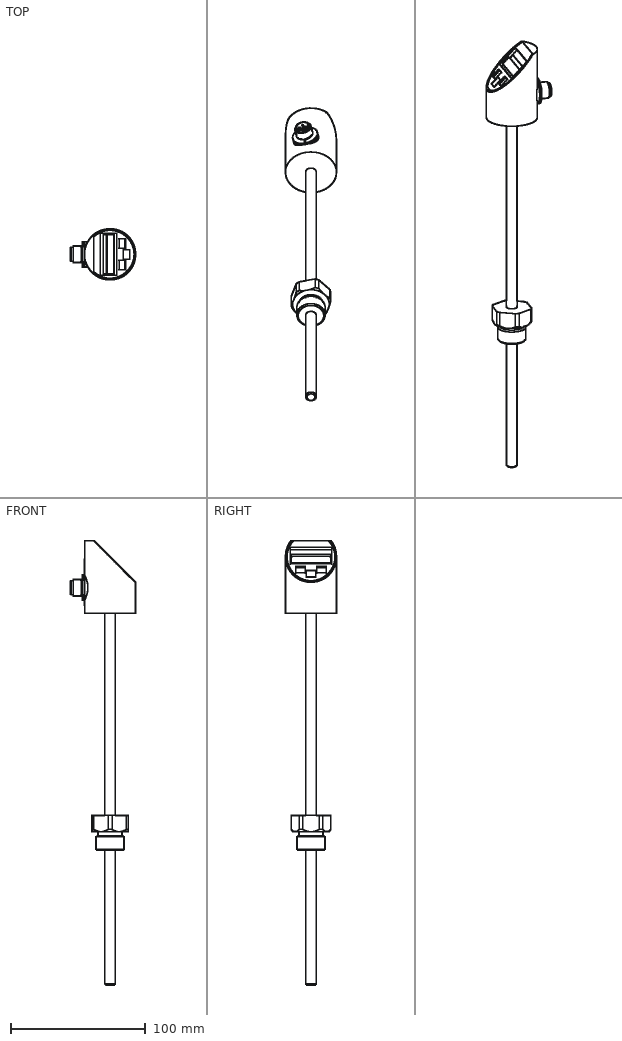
import cadquery as cq
import math

overlap = 0.5

rod_radius = 4.0
rod_tip_chamfer = 1.0

total_height = 330.0
head_height = 54.0
head_radius = 19.0
head_base_z = total_height - head_height
crest_x = -12.0
slope_angle = 45.0
slope_stretch = 1 / math.cos(math.radians(slope_angle))

panel_radius = 17.8
panel_depth = 0.2
display_x_range = (-7.0, 5.0)
display_half_width = 15.5
display_depth = 2.5
bezel_x_range = (-3.4, 3.75)
bezel_height = 0.3
screen_x_range = (-1.2, 3.75)
screen_half_width = 14.6
screen_height = 1.3
side_button_x_range = (7.0, 11.9)
side_button_y = 7.9
side_button_depth = 1.5
middle_button_x_range = (10.0, 14.9)
middle_button_depth = 0.5
button_width = 7.0

connector_z = head_base_z + 19.0
connector_end_x = -29.5
flange_face_x = -20.5
flange_radius = 9.5
flange_thickness = 1.2
seal_groove_width = 0.5
seal_groove_radius = 9.2
flange_notch_width = 1.0
flange_notch_depth = 0.5
neck_length = 1.0
neck_radius = 5.3
thread_radius = 6.2
nose_length = 2.0
nose_radius = 5.3
nose_chamfer = 0.5
socket_radius = 4.3
socket_depth = 5.0
pin_radius = 0.5
pin_circle_radius = 2.5
pin_length = 4.0
pin_count = 4

fitting_base_z = 100.0
fitting_thread_radius = 10.5
fitting_thread_length = 10.0
fitting_thread_chamfer = 1.0
fitting_neck_radius = 9.0
fitting_neck_length = 4.0
fitting_cone_height = 1.0
hex_height = 12.0
hex_across_flats = 27.0
hex_corner_radius = 14.8
hex_chamfer_height = 1.5
hex_chamfer_radial = 1.2


def make_rod():
    rod = cq.Workplane("XY").circle(rod_radius).extrude(head_base_z + overlap)
    return rod.faces("<Z").chamfer(rod_tip_chamfer)


def make_head():
    slope_foot_z = total_height - (head_radius - crest_x) * math.tan(math.radians(slope_angle))
    body = cq.Workplane("XY", origin=(0, 0, head_base_z)).circle(head_radius).extrude(head_height)
    waste = (
        cq.Workplane("XZ")
        .moveTo(crest_x, total_height)
        .lineTo(head_radius, slope_foot_z)
        .lineTo(head_radius, total_height)
        .close()
        .extrude(head_radius, both=True)
    )
    return body.cut(waste)


def slope_plane(sink=0.0):
    """Plane of the sloped face, sunk along its normal; local x runs downhill from the crest."""
    angle = math.radians(slope_angle)
    normal = (math.sin(angle), 0, math.cos(angle))
    downhill = (math.cos(angle), 0, -math.sin(angle))
    origin = (crest_x - sink * normal[0], 0, total_height - sink * normal[2])
    return cq.Plane(origin=origin, xDir=downhill, normal=normal)


def slope_block(x_range, half_width, height, sink=0.0, center_y=0.0):
    """Block on the sloped face, starting sunk below it; a negative height extends inward."""
    start, end = [(x - crest_x) * slope_stretch for x in x_range]
    return (
        cq.Workplane(slope_plane(sink))
        .center((start + end) / 2, center_y)
        .rect(end - start, 2 * half_width)
        .extrude(height)
    )


def cut_panel(head):
    """Shallow recess inside a narrow rim along the edge of the sloped face."""
    recess = (
        cq.Workplane("XY", origin=(0, 0, head_base_z))
        .circle(panel_radius)
        .extrude(head_height)
        .intersect(slope_block((crest_x, head_radius), head_radius, -panel_depth))
    )
    return head.cut(recess)


def add_display(head):
    head = head.cut(slope_block(display_x_range, display_half_width, -display_depth))
    screen = slope_block(screen_x_range, screen_half_width, screen_height, display_depth)
    bezel = slope_block(bezel_x_range, screen_half_width, bezel_height, display_depth)
    return head.union(screen).union(bezel)


def cut_buttons(head):
    half_width = button_width / 2
    for center_y in (-side_button_y, side_button_y):
        head = head.cut(
            slope_block(side_button_x_range, half_width, -side_button_depth, center_y=center_y)
        )
    return head.cut(slope_block(middle_button_x_range, half_width, -middle_button_depth))


def connector_rod(start_x, end_x, radius):
    """Cylinder on the connector axis between two X positions."""
    return (
        cq.Workplane("YZ", origin=(start_x, 0, connector_z))
        .circle(radius)
        .extrude(end_x - start_x)
    )


def make_connector():
    groove_start_x = flange_face_x + flange_thickness
    groove_end_x = groove_start_x + seal_groove_width
    nose_end_x = connector_end_x + nose_length
    thread_end_x = flange_face_x - neck_length
    nose = connector_rod(connector_end_x, nose_end_x, nose_radius).faces("<X").chamfer(nose_chamfer)
    connector = (
        nose.union(connector_rod(nose_end_x, thread_end_x, thread_radius))
        .union(connector_rod(thread_end_x, flange_face_x, neck_radius))
        .union(connector_rod(flange_face_x, groove_start_x, flange_radius))
        .union(connector_rod(groove_start_x, groove_end_x, seal_groove_radius))
        .union(connector_rod(groove_end_x, -head_radius / 2, flange_radius))
    )
    notch = cq.Workplane("XY").box(
        flange_notch_depth,
        flange_notch_width,
        flange_radius - neck_radius,
        centered=(False, True, False),
    )
    connector = connector.cut(notch.translate((flange_face_x, 0, connector_z - flange_radius)))

    socket_floor_x = connector_end_x + socket_depth
    connector = connector.cut(connector_rod(connector_end_x, socket_floor_x, socket_radius))
    pins = (
        cq.Workplane("YZ", origin=(socket_floor_x + overlap, 0, connector_z))
        .polarArray(pin_circle_radius, 0, 360, pin_count)
        .circle(pin_radius)
        .extrude(-pin_length - overlap)
    )
    return connector.union(pins)


def make_fitting():
    neck_base_z = fitting_base_z + fitting_thread_length
    hex_base_z = neck_base_z + fitting_neck_length
    hex_top_z = hex_base_z + hex_height
    chamfered_radius = fitting_thread_radius - fitting_thread_chamfer

    threaded_end = (
        cq.Workplane("XZ")
        .moveTo(0, fitting_base_z)
        .lineTo(chamfered_radius, fitting_base_z)
        .lineTo(fitting_thread_radius, fitting_base_z + fitting_thread_chamfer)
        .lineTo(fitting_thread_radius, neck_base_z)
        .lineTo(fitting_neck_radius, neck_base_z + fitting_cone_height)
        .lineTo(fitting_neck_radius, hex_base_z + overlap)
        .lineTo(0, hex_base_z + overlap)
        .close()
        .revolve(360, (0, 0), (0, 1))
    )
    hexagon = (
        cq.Workplane("XY", origin=(0, 0, hex_base_z))
        .polygon(6, hex_across_flats, circumscribed=True)
        .extrude(hex_height)
    )
    envelope = (
        cq.Workplane("XZ")
        .moveTo(0, hex_base_z)
        .lineTo(hex_corner_radius - hex_chamfer_radial, hex_base_z)
        .lineTo(hex_corner_radius, hex_base_z + hex_chamfer_height)
        .lineTo(hex_corner_radius, hex_top_z)
        .lineTo(0, hex_top_z)
        .close()
        .revolve(360, (0, 0), (0, 1))
    )
    return threaded_end.union(hexagon.intersect(envelope))


head = make_head().union(make_connector())
head = cut_panel(head)
head = add_display(head)
head = cut_buttons(head)
result = head.union(make_rod()).union(make_fitting())